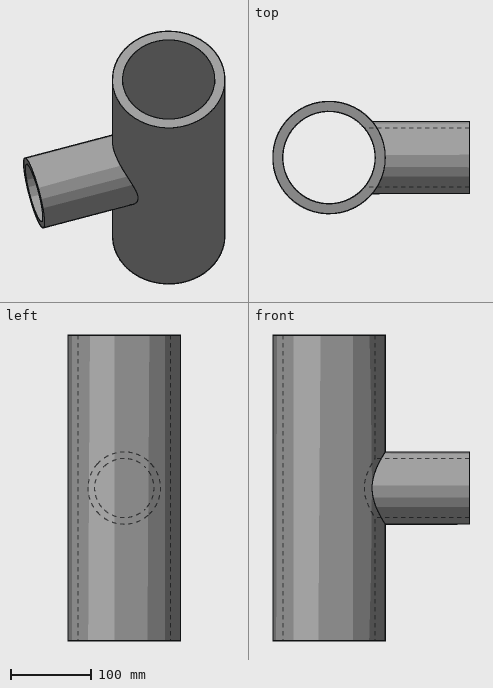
import cadquery as cq

main_diameter = 140.0
main_wall = 12.7
main_length = 380.0
main_bore = main_diameter - 2 * main_wall

branch_diameter = 90.0
branch_reach = 175.0
branch_bore = branch_diameter * main_bore / main_diameter


def upright_cylinder(diameter):
    """Full-length cylinder on the main axis."""
    return cq.Workplane("XY").circle(diameter / 2).extrude(main_length / 2, both=True)


def branch_cylinder(diameter):
    """Cylinder from the main axis to the branch end."""
    return cq.Workplane("YZ").circle(diameter / 2).extrude(branch_reach)


outer_body = upright_cylinder(main_diameter).union(branch_cylinder(branch_diameter))
flow_passages = upright_cylinder(main_bore).union(branch_cylinder(branch_bore))

result = outer_body.cut(flow_passages)